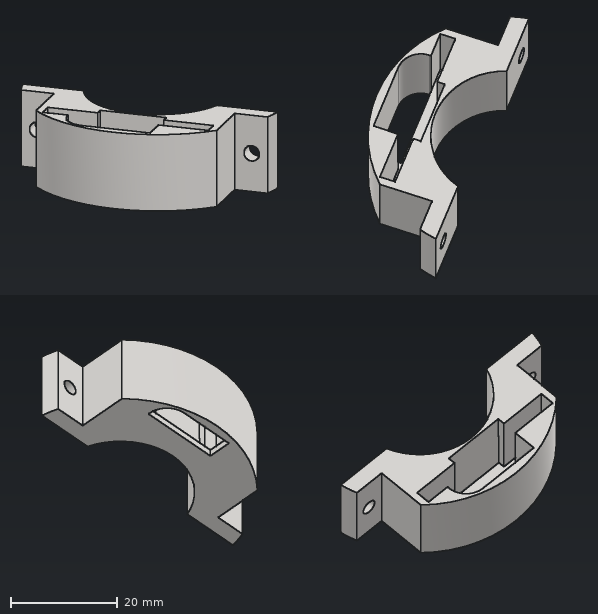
import cadquery as cq

length = 50.85
depth = 21.3
height = 15.25
half_length = length / 2

outer_radius = (half_length**2 + depth**2) / (2 * depth)
arc_centre_y = outer_radius - depth
saddle_radius = 14.0

body_half_width = 18.0
ear_thickness = 3.5
hole_diameter = 3.0
hole_offset = 21.35

wall = 1.55
floor_thickness = 1.55
slot_half_width = body_half_width - wall
slot_back_y = -11.5
slot_front_y = -14.55
recess_half_width = 6.55
recess_back_top_y = -9.95
recess_back_floor_y = -10.1

window_left_x = -11.45
window_front_y = -19.5
window_ledge = 1.6
window_corner_radius = 4.6


def box_between(x_min, x_max, y_min, y_max, z_min):
    """Box cutter reaching from z_min to the top of the part."""
    return cq.Workplane("XY").box(
        x_max - x_min, y_max - y_min, height - z_min, centered=False
    ).translate((x_min, y_min, z_min))


def make_body():
    """Arc-fronted block with two ears, hollowed by the round saddle."""
    disc = cq.Workplane("XY").center(0, arc_centre_y).circle(outer_radius).extrude(height)
    block = box_between(-body_half_width, body_half_width, -depth, 0, 0)
    ears = box_between(-half_length, half_length, -ear_thickness, 0, 0)
    saddle = cq.Workplane("XY").center(0, arc_centre_y).circle(saddle_radius).extrude(height)
    return block.union(ears).intersect(disc).cut(saddle)


def make_cavity():
    """Wide slot with a central recess, its back wall slightly tilted, and a ledge beside the window."""
    slot = box_between(-slot_half_width, slot_half_width, slot_front_y, slot_back_y, floor_thickness)
    recess_section = [
        (slot_front_y, floor_thickness),
        (recess_back_floor_y, floor_thickness),
        (recess_back_top_y, height),
        (slot_front_y, height),
    ]
    recess = cq.Workplane("YZ").polyline(recess_section).close().extrude(recess_half_width, both=True)
    ledge_pocket = box_between(0, recess_half_width, window_front_y, slot_front_y, floor_thickness)
    return slot.union(recess).union(ledge_pocket)


def make_window():
    """Through opening with one large rounded corner."""
    opening = box_between(
        window_left_x, recess_half_width - window_ledge, window_front_y, slot_front_y, 0
    )
    return opening.edges("|Z and <X and <Y").fillet(window_corner_radius)


def make_screw_holes():
    """Holes through both ears along Y."""
    return (
        cq.Workplane("XZ", origin=(0, 0, height / 2))
        .pushPoints([(-hole_offset, 0), (hole_offset, 0)])
        .circle(hole_diameter / 2)
        .extrude(ear_thickness)
    )


result = make_body().cut(make_cavity()).cut(make_window()).cut(make_screw_holes())